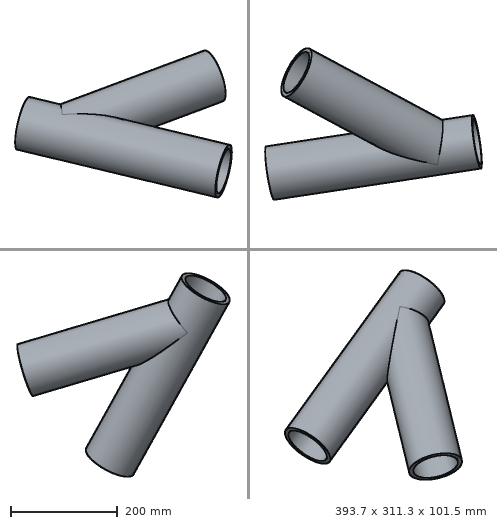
import cadquery as cq

outer_diameter = 101.5
bore_diameter = 85.5
run_length = 393.7
inlet_length = 76.0
branch_length = 317.7
branch_angle = 45.0


def run_cylinder(diameter):
    """Cylinder along X over the full length of the run."""
    start = cq.Workplane("YZ").workplane(offset=-inlet_length)
    return start.circle(diameter / 2).extrude(run_length)


def branch_cylinder(diameter):
    """Cylinder from the axis crossing to the open end of the branch."""
    along_x = cq.Workplane("YZ").circle(diameter / 2).extrude(branch_length)
    return along_x.rotate((0, 0, 0), (0, 0, 1), branch_angle)


body = run_cylinder(outer_diameter).union(branch_cylinder(outer_diameter))

result = body.cut(run_cylinder(bore_diameter)).cut(branch_cylinder(bore_diameter))